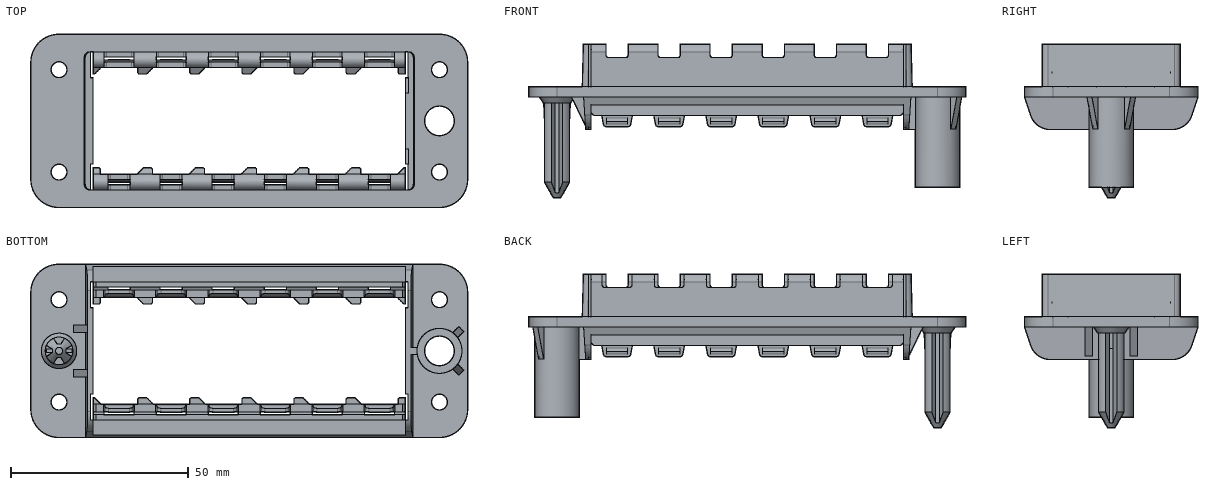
import cadquery as cq

PLATE_LENGTH = 123.4
PLATE_WIDTH = 49.0
PLATE_THICKNESS = 3.0
PLATE_CORNER_RADIUS = 8.0
SCREW_HOLE_X = 53.7
SCREW_HOLE_Y = 14.45
SCREW_HOLE_DIAMETER = 4.4

MODULE_COUNT = 6
MODULE_PITCH = 14.7
WALL_HEIGHT = 12.0
WALL_OUTER_Y = 19.5
WALL_THICKNESS = 4.5
WALL_BOTTOM_Z = -8.2
WALL_BOTTOM_CHAMFER = 0.8
FRONT_NOTCH_WIDTH = 6.2
BACK_NOTCH_WIDTH = 8.4
NOTCH_FLOOR_Z = 8.2
NOTCH_FLOOR_RADIUS = 0.7
SLOT_WIDTH = 1.5
SLOT_BOTTOM_WIDTH = 0.8
SLOT_OUTER_SKIN = 1.5

LUG_BOTTOM_Z = -11.4
LUG_TOP_WIDTH = 8.7
LUG_BOTTOM_WIDTH = 7.5
LUG_CORNER_RADIUS = 1.0
LUG_KNEE_Z = -9.4
LUG_KNEE_INSET = 0.3
LUG_BOTTOM_INSET = 1.2
BARB_WIDTH = 6.0
BARB_REACH = 0.15
BARB_TOP_Z = -8.9
BARB_PEAK_Z = -9.9
BARB_BOTTOM_Z = -10.6

TOOTH_REACH = 1.8
TOOTH_TOP_Z = -3.0
TOOTH_BOTTOM_Z = -5.8
TOOTH_SIDE_X = 2.1
TOOTH_TIP_X = 0.45
TOOTH_SIDE_CHAMFER = 0.4
TOOTH_TOP_DROP = 1.0

END_BASE_X = 46.6
END_TOP_X = 46.3
END_FLANGE_TOP_X = 46.2
END_BOTTOM_X = 45.6
END_EDGE_RADIUS = 1.6
END_FLANGE_BOTTOM_Z = -12.2
END_FLANGE_TOE_RADIUS = 6.0
SKIRT_BOTTOM_Z = -5.2
SKIRT_DRAFT = 1 / 3
SLIT_WIDTH = 0.7
SLIT_INNER_Y = 12.2
POCKET_INNER_Y = 7.9
POCKET_DEPTH = 0.9
POCKET_FLOOR_Z = -1.5
GUSSET_Y = 6.3
GUSSET_THICKNESS = 2.1
GUSSET_TOP_X = 49.6
GUSSET_BOTTOM_Z = -11.3

GUIDE_X = SCREW_HOLE_X
PIN_RADIUS = 3.9
PIN_TIP_RADIUS = 1.0
PIN_TAPER_Z = -27.0
PIN_TIP_Z = -31.4
PIN_FLARE_RADIUS = 5.0
PIN_FLARE_BOTTOM_Z = -4.6
CRUSH_RIB_TOP_X = 3.8
CRUSH_RIB_BOTTOM_X = 3.6
CRUSH_RIB_BOTTOM_Z = -9.0
FLUTE_MOUTH = 3.6
FLUTE_FLOOR = 1.0
FLUTE_FLOOR_RADIUS = 1.9
BUSH_RADIUS = 6.35
BUSH_BORE_DIAMETER = 8.3
BUSH_BOTTOM_Z = -28.5
BUSH_RIB_REACH = 8.7
BUSH_RIB_THICKNESS = 2.0
BUSH_RIB_BOTTOM_Z = -12.0

HALF_OPENING = MODULE_COUNT * MODULE_PITCH / 2
WALL_INNER_Y = WALL_OUTER_Y - WALL_THICKNESS
SLOT_OUTER_Y = WALL_OUTER_Y - SLOT_OUTER_SKIN
SLOT_INNER_Y = SLOT_OUTER_Y - SLOT_WIDTH
SLOT_BOTTOM_INNER_Y = SLOT_OUTER_Y - SLOT_BOTTOM_WIDTH
KNUCKLE_RADIUS = WALL_THICKNESS / 2
KNUCKLE_Z = WALL_HEIGHT - KNUCKLE_RADIUS
PLATE_BOTTOM_Z = -PLATE_THICKNESS
SKIRT_TOP_Y = PLATE_WIDTH / 2
MODULE_CENTRES = [MODULE_PITCH * (i - (MODULE_COUNT - 1) / 2) for i in range(MODULE_COUNT)]
TOOTH_CENTRES = [MODULE_PITCH * (i - MODULE_COUNT / 2) for i in range(MODULE_COUNT + 1)]


def box(x_range, y_range, z_range):
    """Axis-aligned block given by its lower and upper limits."""
    size = [high - low for low, high in (x_range, y_range, z_range)]
    corner = (x_range[0], y_range[0], z_range[0])
    return cq.Workplane("XY").box(*size, centered=False).translate(corner)


def extrude_along_x(points, x_centre, width):
    """Closed (Y, Z) outline extruded evenly either side of x_centre."""
    outline = cq.Workplane("YZ").polyline(points).close()
    return outline.extrude(width / 2, both=True).translate((x_centre, 0, 0))


def extrude_along_y(points, y_centre, width):
    """Closed (X, Z) outline extruded evenly either side of y_centre."""
    outline = cq.Workplane("XZ").polyline(points).close()
    return outline.extrude(width / 2, both=True).translate((0, y_centre, 0))


def flange_plate():
    plate = cq.Workplane("XY").rect(PLATE_LENGTH, PLATE_WIDTH).extrude(-PLATE_THICKNESS)
    plate = plate.edges("|Z").fillet(PLATE_CORNER_RADIUS)
    opening = (-HALF_OPENING, HALF_OPENING), (-WALL_OUTER_Y, WALL_OUTER_Y), (PLATE_BOTTOM_Z, 0)
    return plate.cut(box(*opening))


def tapered_bar(bottom_z, x_range):
    """Full-width bar under the plate whose long sides lean inwards."""
    inset = SKIRT_DRAFT * (PLATE_BOTTOM_Z - bottom_z)
    bottom_y = SKIRT_TOP_Y - inset
    points = [
        (-SKIRT_TOP_Y, PLATE_BOTTOM_Z),
        (SKIRT_TOP_Y, PLATE_BOTTOM_Z),
        (bottom_y, bottom_z),
        (-bottom_y, bottom_z),
    ]
    return extrude_along_x(points, sum(x_range) / 2, x_range[1] - x_range[0])


def skirt():
    """Leaning rails along both long sides, from the plate edge in to the walls."""
    bar = tapered_bar(SKIRT_BOTTOM_Z, (-HALF_OPENING, HALF_OPENING))
    inside = (-HALF_OPENING, HALF_OPENING), (-WALL_OUTER_Y, WALL_OUTER_Y)
    return bar.cut(box(*inside, (SKIRT_BOTTOM_Z, PLATE_BOTTOM_Z)))


def end_wall():
    """Wall above the plate and rounded flange below it, at the +X end."""
    upper_outline = [
        (HALF_OPENING, 0),
        (END_BASE_X, 0),
        (END_TOP_X, WALL_HEIGHT),
        (HALF_OPENING, WALL_HEIGHT),
    ]
    upper = extrude_along_y(upper_outline, 0, 2 * WALL_OUTER_Y)
    upper = upper.faces(">Y or <Y").edges(">X").fillet(END_EDGE_RADIUS)

    lower = tapered_bar(END_FLANGE_BOTTOM_Z, (HALF_OPENING, END_BASE_X))
    lower = lower.edges("|X and <Z").fillet(END_FLANGE_TOE_RADIUS)
    lower_outline = [
        (HALF_OPENING, PLATE_BOTTOM_Z),
        (END_FLANGE_TOP_X, PLATE_BOTTOM_Z),
        (END_BOTTOM_X, END_FLANGE_BOTTOM_Z),
        (HALF_OPENING, END_FLANGE_BOTTOM_Z),
    ]
    lower = lower.intersect(extrude_along_y(lower_outline, 0, PLATE_WIDTH))
    return upper.union(lower)


def corner_slits():
    """Slits that part each end wall from the ends of the long walls."""
    slits = cq.Workplane("XY")
    for x_side in (1, -1):
        for y_side in (1, -1):
            x_limits = sorted((x_side * HALF_OPENING, x_side * (HALF_OPENING + SLIT_WIDTH)))
            y_limits = sorted((y_side * SLIT_INNER_Y, y_side * WALL_OUTER_Y))
            slits = slits.add(box(x_limits, y_limits, (END_FLANGE_BOTTOM_Z, WALL_HEIGHT)))
    return slits.combine()


def end_pockets():
    """Two shallow pockets in the inner face of the +X end wall."""
    x_limits = (HALF_OPENING, HALF_OPENING + POCKET_DEPTH)
    z_limits = (POCKET_FLOOR_Z, WALL_HEIGHT)
    pocket = box(x_limits, (POCKET_INNER_Y, SLIT_INNER_Y), z_limits)
    return pocket.union(pocket.mirror("XZ"))


def wall_slot():
    """Internal slot of a long wall, arched at the top and narrowing to its open bottom."""
    arch_top = ((SLOT_INNER_Y + SLOT_OUTER_Y) / 2, KNUCKLE_Z + SLOT_WIDTH / 2)
    outline = (
        cq.Workplane("YZ")
        .moveTo(SLOT_OUTER_Y, WALL_BOTTOM_Z)
        .lineTo(SLOT_OUTER_Y, KNUCKLE_Z)
        .threePointArc(arch_top, (SLOT_INNER_Y, KNUCKLE_Z))
        .lineTo(SLOT_BOTTOM_INNER_Y, WALL_BOTTOM_Z)
        .close()
    )
    return outline.extrude(HALF_OPENING, both=True)


def latch_lug(x_centre):
    """Tapered lug below the inner skin of the wall, with a barb on its slot side."""
    section = [
        (SLOT_BOTTOM_INNER_Y, WALL_BOTTOM_Z),
        (WALL_INNER_Y, WALL_BOTTOM_Z),
        (WALL_INNER_Y + LUG_KNEE_INSET, LUG_KNEE_Z),
        (WALL_INNER_Y + LUG_BOTTOM_INSET, LUG_BOTTOM_Z),
        (SLOT_BOTTOM_INNER_Y, LUG_BOTTOM_Z),
    ]
    outline = [
        (-LUG_TOP_WIDTH / 2, WALL_BOTTOM_Z),
        (LUG_TOP_WIDTH / 2, WALL_BOTTOM_Z),
        (LUG_BOTTOM_WIDTH / 2, LUG_BOTTOM_Z),
        (-LUG_BOTTOM_WIDTH / 2, LUG_BOTTOM_Z),
    ]
    body = extrude_along_y(outline, WALL_INNER_Y, 2 * WALL_THICKNESS)
    body = body.edges("|Y and <Z").fillet(LUG_CORNER_RADIUS)
    body = body.intersect(extrude_along_x(section, 0, LUG_TOP_WIDTH))
    barb_section = [
        (SLOT_BOTTOM_INNER_Y, BARB_TOP_Z),
        (SLOT_BOTTOM_INNER_Y + BARB_REACH, BARB_PEAK_Z),
        (SLOT_BOTTOM_INNER_Y, BARB_BOTTOM_Z),
    ]
    barb = extrude_along_x(barb_section, 0, BARB_WIDTH)
    return body.union(barb).translate((x_centre, 0, 0))


def coding_tooth(x_centre):
    """Tooth on the inner face of the +Y wall, bevelled on its +X side."""
    tip_y = WALL_INNER_Y - TOOTH_REACH
    plan = [
        (-TOOTH_SIDE_X, WALL_INNER_Y),
        (-TOOTH_SIDE_X, tip_y + TOOTH_SIDE_CHAMFER),
        (TOOTH_SIDE_CHAMFER - TOOTH_SIDE_X, tip_y),
        (TOOTH_TIP_X, tip_y),
        (TOOTH_TIP_X + TOOTH_REACH, WALL_INNER_Y),
    ]
    height = TOOTH_TOP_Z - TOOTH_BOTTOM_Z
    tooth = cq.Workplane("XY").polyline(plan).close().extrude(height)
    tooth = tooth.translate((0, 0, TOOTH_BOTTOM_Z))
    slope = [
        (WALL_INNER_Y, TOOTH_TOP_Z),
        (tip_y, TOOTH_TOP_Z),
        (tip_y, TOOTH_TOP_Z - TOOTH_TOP_DROP),
    ]
    tooth = tooth.cut(extrude_along_x(slope, 0, MODULE_PITCH))
    return tooth.translate((x_centre, 0, 0))


def long_wall(notch_width):
    """Wall at the +Y side: rounded knuckles on top, latch lugs below, teeth inside."""
    centre_y = WALL_OUTER_Y - KNUCKLE_RADIUS
    profile = (
        cq.Workplane("YZ")
        .moveTo(WALL_OUTER_Y, WALL_BOTTOM_Z)
        .lineTo(WALL_OUTER_Y, KNUCKLE_Z)
        .threePointArc((centre_y, WALL_HEIGHT), (WALL_INNER_Y, KNUCKLE_Z))
        .lineTo(WALL_INNER_Y, WALL_BOTTOM_Z)
        .close()
    )
    wall = profile.extrude(HALF_OPENING, both=True)
    wall = wall.edges("|Y and <Z").chamfer(WALL_BOTTOM_CHAMFER)
    wall = wall.cut(wall_slot())
    envelope = box((-HALF_OPENING, HALF_OPENING), (0, WALL_OUTER_Y), (LUG_BOTTOM_Z, WALL_HEIGHT))

    for x_centre in MODULE_CENTRES:
        x_limits = (x_centre - notch_width / 2, x_centre + notch_width / 2)
        notch = box(x_limits, (WALL_INNER_Y, WALL_OUTER_Y), (NOTCH_FLOOR_Z, WALL_HEIGHT))
        wall = wall.cut(notch.edges("|Y and <Z").fillet(NOTCH_FLOOR_RADIUS))
        wall = wall.union(latch_lug(x_centre))
    for x_centre in TOOTH_CENTRES:
        wall = wall.union(coding_tooth(x_centre).intersect(envelope))
    return wall


def end_gussets():
    """Two triangular gussets behind the -X end flange."""
    outline = [
        (-HALF_OPENING - SLIT_WIDTH, PLATE_BOTTOM_Z),
        (-GUSSET_TOP_X, PLATE_BOTTOM_Z),
        (-END_BOTTOM_X, GUSSET_BOTTOM_Z),
        (-HALF_OPENING - SLIT_WIDTH, GUSSET_BOTTOM_Z),
    ]
    gusset = extrude_along_y(outline, GUSSET_Y, GUSSET_THICKNESS)
    return gusset.union(gusset.mirror("XZ"))


def guide_pin():
    """Fluted pin with a flared root, two short crush ribs in its X flutes and a pointed tip."""
    profile = [
        (0, PLATE_BOTTOM_Z),
        (PIN_FLARE_RADIUS, PLATE_BOTTOM_Z),
        (PIN_RADIUS, PIN_FLARE_BOTTOM_Z),
        (PIN_RADIUS, PIN_TAPER_Z),
        (PIN_TIP_RADIUS, PIN_TIP_Z),
        (0, PIN_TIP_Z),
    ]
    pin = cq.Workplane("XZ").polyline(profile).close().revolve(360, (0, 0), (0, 1))
    flute_plan = [
        (FLUTE_FLOOR_RADIUS, -FLUTE_FLOOR / 2),
        (PIN_RADIUS, -FLUTE_MOUTH / 2),
        (PIN_RADIUS, FLUTE_MOUTH / 2),
        (FLUTE_FLOOR_RADIUS, FLUTE_FLOOR / 2),
    ]
    flute = cq.Workplane("XY").polyline(flute_plan).close().extrude(PIN_TIP_Z - PIN_FLARE_BOTTOM_Z)
    flute = flute.translate((0, 0, PIN_FLARE_BOTTOM_Z))
    for angle in (0, 90, 180, 270):
        pin = pin.cut(flute.rotate((0, 0, 0), (0, 0, 1), angle))
    crush_rib_outline = [
        (-CRUSH_RIB_TOP_X, PIN_FLARE_BOTTOM_Z),
        (CRUSH_RIB_TOP_X, PIN_FLARE_BOTTOM_Z),
        (CRUSH_RIB_BOTTOM_X, CRUSH_RIB_BOTTOM_Z),
        (-CRUSH_RIB_BOTTOM_X, CRUSH_RIB_BOTTOM_Z),
    ]
    pin = pin.union(extrude_along_y(crush_rib_outline, 0, FLUTE_FLOOR))
    return pin.translate((-GUIDE_X, 0, 0))


def guide_bush():
    """Round bush with two slanted ribs on its far side and a web to the end flange."""
    bush = cq.Workplane("XY").circle(BUSH_RADIUS).extrude(BUSH_BOTTOM_Z)
    rib_outline = [
        (0, PLATE_BOTTOM_Z),
        (BUSH_RIB_REACH, PLATE_BOTTOM_Z),
        (BUSH_RADIUS, BUSH_RIB_BOTTOM_Z),
        (0, BUSH_RIB_BOTTOM_Z),
    ]
    rib = extrude_along_y(rib_outline, 0, BUSH_RIB_THICKNESS)
    for angle in (45, -45):
        bush = bush.union(rib.rotate((0, 0, 0), (0, 0, 1), angle))
    web_x = (HALF_OPENING + SLIT_WIDTH - GUIDE_X, 0)
    half_web = BUSH_RIB_THICKNESS / 2
    web = box(web_x, (-half_web, half_web), (END_FLANGE_BOTTOM_Z, PLATE_BOTTOM_Z))
    return bush.union(web).translate((GUIDE_X, 0, 0))


def vertical_hole(x, y, diameter):
    return cq.Workplane("XY").center(x, y).circle(diameter / 2).extrude(BUSH_BOTTOM_Z)


right_end = end_wall()
result = flange_plate().union(skirt()).union(right_end).union(right_end.mirror("YZ"))
result = result.union(long_wall(BACK_NOTCH_WIDTH))
result = result.union(long_wall(FRONT_NOTCH_WIDTH).rotate((0, 0, 0), (0, 0, 1), 180))
result = result.union(end_gussets()).union(guide_pin()).union(guide_bush())
result = result.cut(corner_slits()).cut(end_pockets())
result = result.cut(vertical_hole(GUIDE_X, 0, BUSH_BORE_DIAMETER))
for hole_x in (-SCREW_HOLE_X, SCREW_HOLE_X):
    for hole_y in (-SCREW_HOLE_Y, SCREW_HOLE_Y):
        result = result.cut(vertical_hole(hole_x, hole_y, SCREW_HOLE_DIAMETER))